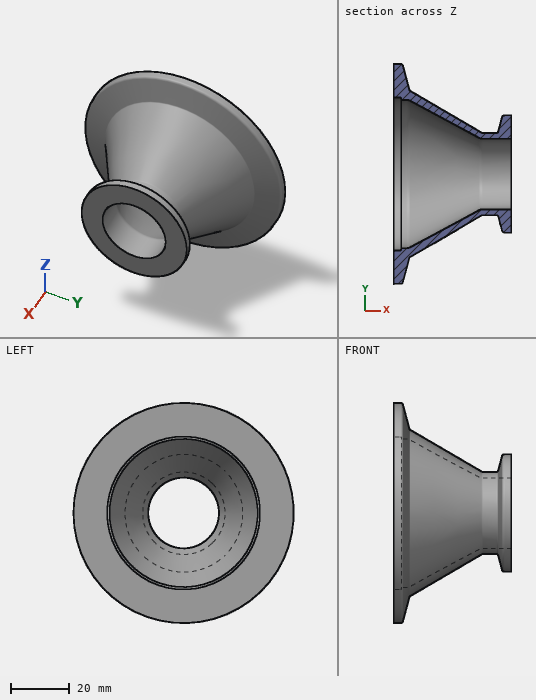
import cadquery as cq
import math

length = 40.0
large_flange_radius = 37.5
small_flange_radius = 20.0
rim_width = 2.25
flange_angle = math.radians(15)
rim_round = 1.0

wall = 2.0
bore_radius = 12.0
neck_radius = bore_radius + wall
cone_large_radius = 28.4
cone_end_x = 30.1
flange_root_round = 0.5
neck_round = 1.0

recess_radius = 26.0
recess_depth = 2.5
recess_round = 0.4
seat_radius = 25.2
bore_cone_start_x = 5.0
bore_cone_end_x = 29.55
bore_round = 2.6

rim_corner_x = rim_width + rim_round * math.tan((math.pi / 2 - flange_angle) / 2)


def slope_run(outer_radius, inner_radius):
    """Axial travel of a flange back face between two radii."""
    return (outer_radius - inner_radius) * math.tan(flange_angle)


def rounded_profile(corners):
    """Closed outline through (x, radius, round) corners; a zero round is sharp."""
    outline = cq.Workplane("XY").moveTo(*corners[0][:2])
    count = len(corners)
    for i in range(1, count):
        x, y, round_radius = corners[i]
        if round_radius == 0:
            outline = outline.lineTo(x, y)
            continue
        corner = cq.Vector(x, y)
        back = (cq.Vector(*corners[i - 1][:2]) - corner).normalized()
        ahead = (cq.Vector(*corners[(i + 1) % count][:2]) - corner).normalized()
        half_angle = back.getAngle(ahead) / 2
        setback = round_radius / math.tan(half_angle)
        apex_distance = round_radius / math.sin(half_angle) - round_radius
        start = corner + back * setback
        middle = corner + (back + ahead).normalized() * apex_distance
        end = corner + ahead * setback
        outline = outline.lineTo(start.x, start.y)
        outline = outline.threePointArc((middle.x, middle.y), (end.x, end.y))
    return outline.close()


cone_start_x = rim_corner_x + slope_run(large_flange_radius, cone_large_radius)
small_rim_x = length - rim_corner_x
neck_end_x = small_rim_x - slope_run(small_flange_radius, neck_radius)

outside = [
    (0, recess_radius, 0),
    (0, large_flange_radius, 0),
    (rim_corner_x, large_flange_radius, rim_round),
    (cone_start_x, cone_large_radius, flange_root_round),
    (cone_end_x, neck_radius, neck_round),
    (neck_end_x, neck_radius, flange_root_round),
    (small_rim_x, small_flange_radius, rim_round),
    (length, small_flange_radius, 0),
]
inside = [
    (length, bore_radius, 0),
    (bore_cone_end_x, bore_radius, bore_round),
    (bore_cone_start_x, seat_radius, bore_round),
    (recess_depth, seat_radius, 0),
    (recess_depth, recess_radius, recess_round),
]

result = rounded_profile(outside + inside).revolve(360, (0, 0, 0), (1, 0, 0))